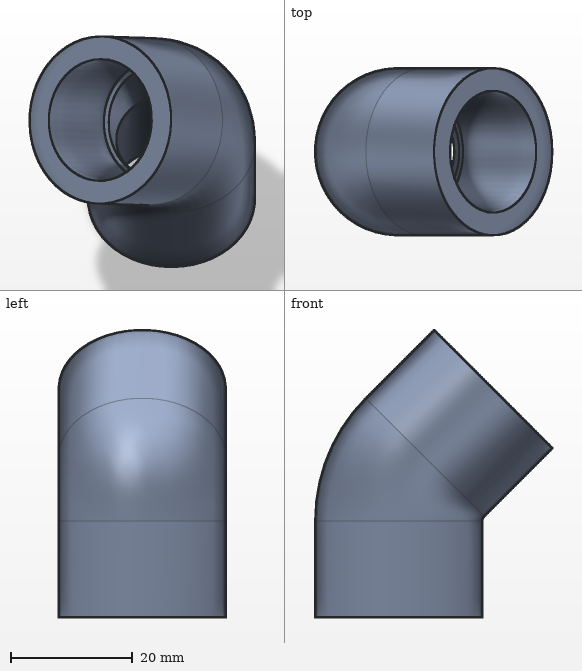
import cadquery as cq

outer_diameter = 27.5
socket_diameter = 20.0
passage_diameter = 18.0
leg_length = 15.9
socket_depth = 17.0
bend_radius = 14.75
bend_angle = 45

bend_center = (bend_radius, 0, leg_length)
bend_axis_end = (bend_radius, 1, leg_length)


def straight_leg(diameter, length):
    """Vertical cylinder rising from the lower open end."""
    return cq.Workplane("XY").circle(diameter / 2).extrude(length)


def upper_leg(diameter, length):
    """Cylinder running inward from the upper open end."""
    leg = cq.Workplane("XY").workplane(offset=2 * leg_length).circle(diameter / 2).extrude(-length)
    return leg.rotate(bend_center, bend_axis_end, bend_angle)


def elbow(diameter):
    """Round bar following both legs and the bend between them."""
    bend = (
        cq.Workplane("XY")
        .workplane(offset=leg_length)
        .circle(diameter / 2)
        .revolve(bend_angle, (bend_radius, 0), (bend_radius, 1))
    )
    return straight_leg(diameter, leg_length).union(bend).union(upper_leg(diameter, leg_length))


body = elbow(outer_diameter)
passage = elbow(passage_diameter)
lower_socket = straight_leg(socket_diameter, socket_depth)
upper_socket = upper_leg(socket_diameter, socket_depth)

result = body.cut(passage).cut(lower_socket).cut(upper_socket)